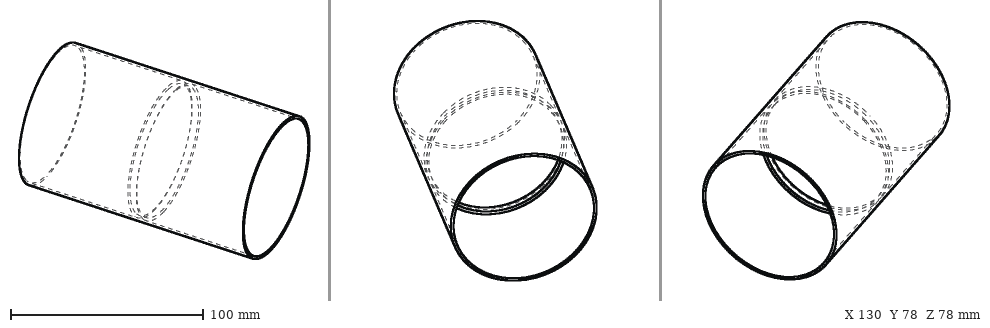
import cadquery as cq

length = 130.0
outer_diameter = 78.0
socket_diameter = 75.0
stop_diameter = 72.0
stop_crest_width = 3.9
stop_flank_width = 0.47

outer_radius = outer_diameter / 2
socket_radius = socket_diameter / 2
stop_radius = stop_diameter / 2
end_x = length / 2
crest_x = stop_crest_width / 2
stop_base_x = crest_x + stop_flank_width

wall_section = (
    cq.Workplane("XY")
    .moveTo(-end_x, outer_radius)
    .lineTo(end_x, outer_radius)
    .lineTo(end_x, socket_radius)
    .lineTo(stop_base_x, socket_radius)
    .lineTo(crest_x, stop_radius)
    .lineTo(-crest_x, stop_radius)
    .lineTo(-stop_base_x, socket_radius)
    .lineTo(-end_x, socket_radius)
    .close()
)

result = wall_section.revolve(360, (0, 0, 0), (1, 0, 0))